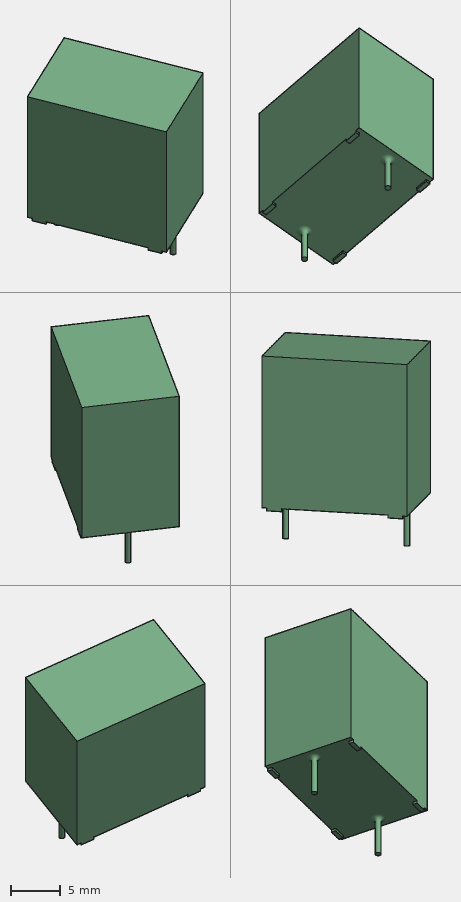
import cadquery as cq

length = 15.0
width = 10.0
height = 20.0

foot_length = 1.5
foot_width = 0.5
foot_height = 0.3

pin_diameter = 0.6
pin_pitch = 12.5
pin_below_feet = 4.0
pin_root_fillet = 0.5

pin_length = pin_below_feet + foot_height
body_height = height - pin_length
pin_x = pin_pitch / 2
foot_y = (width - foot_width) / 2


def make_body():
    """The plain rectangular case."""
    return cq.Workplane("XY").box(length, width, body_height, centered=(True, True, False))


def make_feet():
    """Four pads flush with the long sides, centred lengthwise on the pins."""
    centres = [(x, y) for x in (-pin_x, pin_x) for y in (-foot_y, foot_y)]
    return cq.Workplane("XY").pushPoints(centres).rect(foot_length, foot_width).extrude(-foot_height)


def make_pin(x):
    """A round pin with a concave flare at its root, revolved about the pin axis."""
    pin_radius = pin_diameter / 2
    profile = (
        cq.Workplane("XZ")
        .lineTo(pin_radius + pin_root_fillet, 0)
        .radiusArc((pin_radius, -pin_root_fillet), -pin_root_fillet)
        .lineTo(pin_radius, -pin_length)
        .lineTo(0, -pin_length)
        .close()
    )
    return profile.revolve(360, (0, 0), (0, 1)).translate((x, 0, 0))


result = make_body().union(make_feet())
for x in (-pin_x, pin_x):
    result = result.union(make_pin(x))